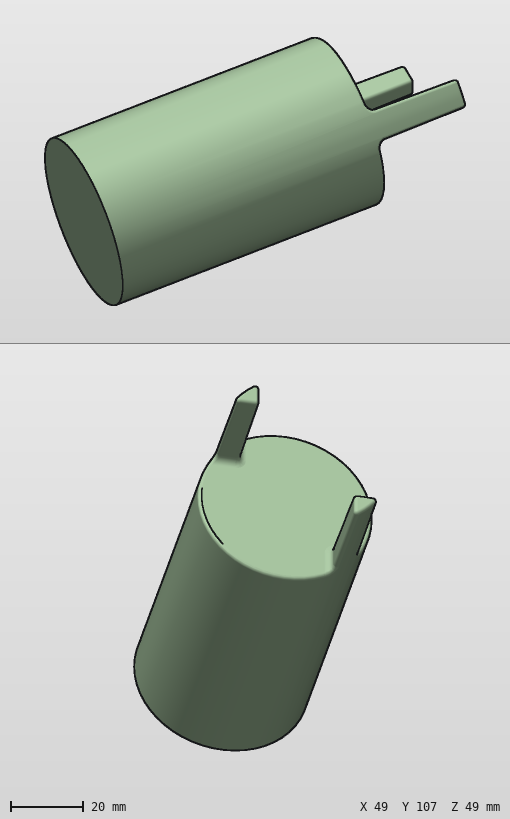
import cadquery as cq
import math

total_length = 107.0
body_diameter = 49.0
leg_length = 27.0
leg_inset = 13.1
leg_draft = 0.6
edge_radius = 1.0
root_radius = 2.0

body_radius = body_diameter / 2
body_length = total_length - leg_length
body_end = total_length / 2 - leg_length
selection_margin = 0.1


def cylinder(start, length):
    """Solid cylinder of the body diameter, running along +Y from start."""
    return cq.Workplane("XZ", origin=(0, start, 0)).circle(body_radius).extrude(-length)


def leg(side):
    """Drafted leg with two flat inner faces; its outer face lies on the body cylinder."""
    centre = side * (leg_inset + body_radius / 2)
    post = (
        cq.Workplane("XZ", origin=(0, body_end, 0))
        .center(centre, centre)
        .rect(body_radius, body_radius)
        .extrude(-leg_length, taper=leg_draft)
    )
    inner_corner = post.edges("not(#Y)").edges(cq.selectors.NearestToPointSelector((0, body_end, 0)))
    post = inner_corner.fillet(edge_radius)
    return post.intersect(cylinder(body_end, leg_length))


def box_between(start, end):
    """Selector for everything centred between two Y positions."""
    return cq.selectors.BoxSelector(
        (-body_diameter, start, -body_diameter),
        (body_diameter, end, body_diameter),
    )


part = cylinder(-total_length / 2, body_length)
for side in (-1, 1):
    part = part.union(leg(side))

root_reach = body_radius - edge_radius
root_edges = part.edges(box_between(body_end - selection_margin, body_end + selection_margin)).filter(
    lambda edge: math.hypot(edge.positionAt(0.5).x, edge.positionAt(0.5).z) < root_reach
)
part = root_edges.fillet(root_radius)

beyond_body = box_between(body_end - selection_margin, total_length / 2 - selection_margin)
outer_edges = part.edges(beyond_body).filter(
    lambda edge: all(
        math.isclose(math.hypot(edge.positionAt(t).x, edge.positionAt(t).z), body_radius, abs_tol=0.01)
        for t in (0.1, 0.5, 0.9)
    )
)
tip_edges = part.faces(">Y").edges()

result = outer_edges.add(tip_edges).fillet(edge_radius)